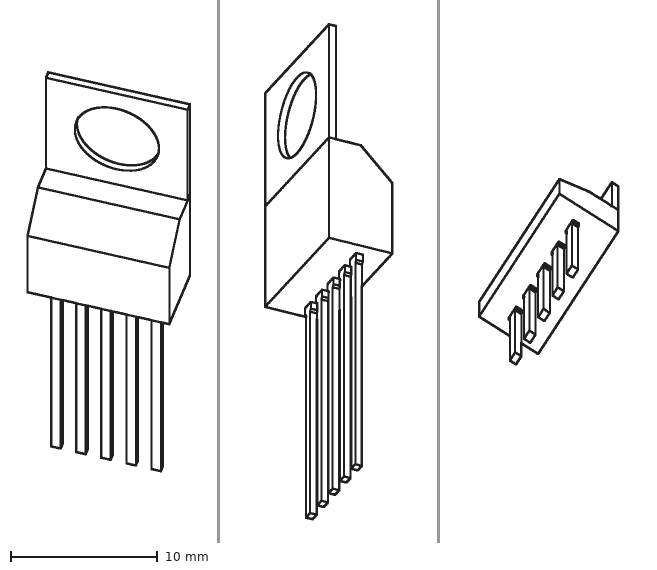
import cadquery as cq

width = 10.1
depth = 4.8
total_height = 33.7

tab_height = 9.0
tab_thickness = 0.55
hole_diameter = 6.0

housing_height = 8.0
bevel_size = 2.4

lead_count = 5
lead_pitch = 1.8
lead_width = 0.67
lead_thickness = 0.5
lead_back_offset = 2.53
shoulder_width = 0.95
shoulder_height = 0.55
taper_height = 0.17

housing_top = total_height - tab_height
housing_bottom = housing_top - housing_height
shoulder_bottom = housing_bottom - shoulder_height
taper_bottom = shoulder_bottom - taper_height


def make_housing():
    """Block with its upper front edge bevelled."""
    profile = [
        (0, housing_bottom),
        (-depth, housing_bottom),
        (-depth, housing_top - bevel_size),
        (bevel_size - depth, housing_top),
        (0, housing_top),
    ]
    return cq.Workplane("YZ").polyline(profile).close().extrude(width / 2, both=True)


def make_tab():
    """Flat plate standing on the housing, with a central through hole."""
    hole_height = housing_top + tab_height / 2
    plate = cq.Workplane("XZ").center(0, hole_height).rect(width, tab_height).extrude(tab_thickness)
    hole = cq.Workplane("XZ").center(0, hole_height).circle(hole_diameter / 2).extrude(tab_thickness)
    return plate.cut(hole)


def make_lead(x_center):
    """Flat lead whose wide shoulder tapers to a narrow shank."""
    half_shoulder = shoulder_width / 2
    half_shank = lead_width / 2
    outline = [
        (-half_shoulder, housing_bottom),
        (half_shoulder, housing_bottom),
        (half_shoulder, shoulder_bottom),
        (half_shank, taper_bottom),
        (half_shank, 0),
        (-half_shank, 0),
        (-half_shank, taper_bottom),
        (-half_shoulder, shoulder_bottom),
    ]
    lead = cq.Workplane("XZ").polyline(outline).close().extrude(lead_thickness)
    return lead.translate((x_center, -lead_back_offset, 0))


housing = make_housing()
tab = make_tab()

leads = []
for index in range(lead_count):
    x_center = (index - (lead_count - 1) / 2) * lead_pitch
    leads.append(make_lead(x_center).val())

result = cq.Compound.makeCompound([housing.val(), tab.val(), *leads])